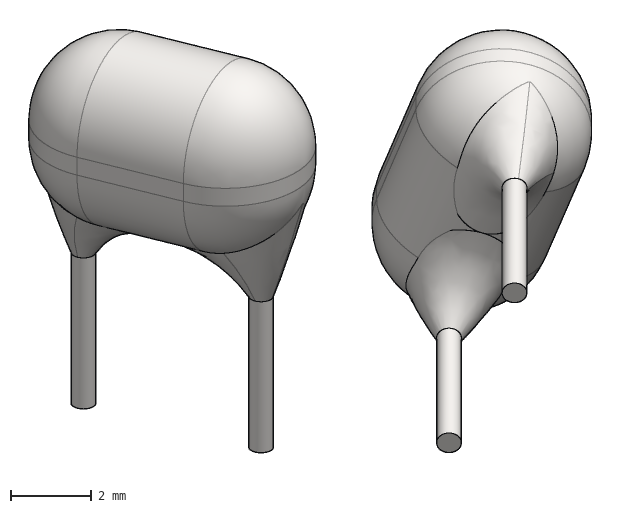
import cadquery as cq
import math

total_height = 10.5
bead_length = 7.5
bead_width = 4.5
bead_radius = bead_width / 2
band_height = 0.5
bead_straight = bead_length - bead_width
upper_center_z = total_height - bead_radius
lower_center_z = upper_center_z - band_height
bead_bottom_z = lower_center_z - bead_radius

lead_diameter = 0.62
lead_radius = lead_diameter / 2
lead_pitch = 5.0
lead_length = 4.26

leg_top_z = 7.15
leg_side_slope = 0.53
leg_outer_bulge = 0.03
leg_sections = 6
end_reach = math.sqrt(bead_radius**2 - (lower_center_z - leg_top_z) ** 2)
leg_top_outer_x = bead_straight / 2 + end_reach
lead_inner_x = lead_pitch / 2 - lead_radius
lead_outer_x = lead_pitch / 2 + lead_radius

arch_rise = bead_bottom_z - lead_length
arch_radius = (lead_inner_x**2 + arch_rise**2) / (2 * arch_rise)
arch_center_z = bead_bottom_z - arch_radius
arch_start_angle = math.atan2(lead_length - arch_center_z, lead_inner_x)


def make_capsule(center_z):
    """Round bar along X with a hemisphere on each end."""
    half = bead_straight / 2
    profile = (
        cq.Workplane("XZ", origin=(0, 0, center_z))
        .moveTo(-half - bead_radius, 0)
        .radiusArc((-half, bead_radius), bead_radius)
        .lineTo(half, bead_radius)
        .radiusArc((half + bead_radius, 0), bead_radius)
        .close()
    )
    return profile.revolve(360, (0, 0, 0), (1, 0, 0))


def make_band():
    """Straight wall between the upper and lower halves of the bead."""
    return (
        cq.Workplane("XY", origin=(0, 0, lower_center_z))
        .slot2D(bead_length, bead_width)
        .extrude(band_height)
    )


def leg_section(fraction):
    """Elliptical section from a point on the arch to a point on the outer flank."""
    angle = arch_start_angle + fraction * (math.pi / 2 - arch_start_angle)
    inner_x = arch_radius * math.cos(angle)
    inner_z = arch_center_z + arch_radius * math.sin(angle)
    bow = 4 * leg_outer_bulge * fraction * (1 - fraction)
    outer_x = lead_outer_x + fraction * (leg_top_outer_x - lead_outer_x) + bow
    outer_z = lead_length + fraction * (leg_top_z - lead_length)
    middle_x = (inner_x + outer_x) / 2
    middle_z = (inner_z + outer_z) / 2
    across = cq.Vector(outer_x - inner_x, 0, outer_z - inner_z)
    half_width = lead_radius + leg_side_slope * (middle_z - lead_length)
    normal = across.cross(cq.Vector(0, -1, 0))
    return cq.Wire.makeEllipse(
        across.Length / 2, half_width, cq.Vector(middle_x, 0, middle_z), normal, across
    )


def make_leg():
    """Flared leg of the coating at the +X lead."""
    sections = [leg_section(i / (leg_sections - 1)) for i in range(leg_sections)]
    return cq.Workplane(cq.Solid.makeLoft(sections))


def make_bead():
    """Coating with its two legs as one solid."""
    bead = make_band()
    for center_z in (lower_center_z, upper_center_z):
        bead = bead.union(make_capsule(center_z))
    leg = make_leg()
    return bead.union(leg).union(leg.mirror("YZ"))


def make_lead(x):
    """Straight round wire that butts against the end of a leg."""
    return cq.Workplane("XY", origin=(x, 0, 0)).circle(lead_radius).extrude(lead_length)


bead = make_bead()
leads = [make_lead(side * lead_pitch / 2) for side in (-1, 1)]

result = cq.Compound.makeCompound([bead.val(), *[lead.val() for lead in leads]])